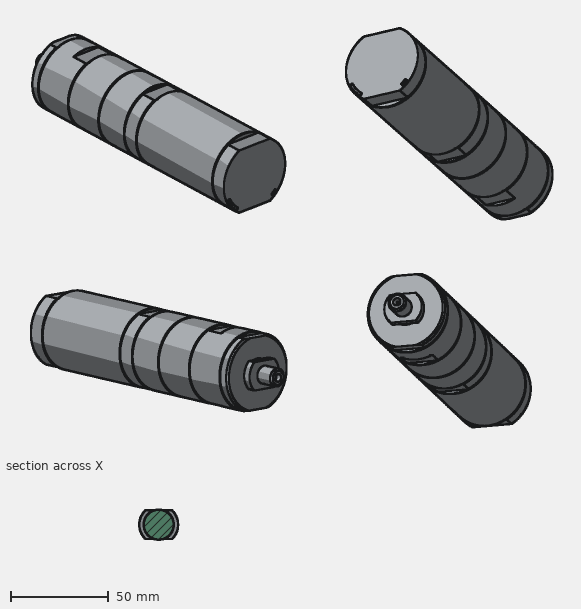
import cadquery as cq
import math


SHAFT_DIAMETER = 9.5
SHAFT_CHAMFER = 1.0
CENTRE_HOLE_DIAMETER = 1.6
CENTRE_HOLE_DEPTH = 5.0
COUNTERSINK_DIAMETER = 4.0
COUNTERSINK_ANGLE = 60

COLLAR_START = 10.8
COLLAR_LENGTH = 4.2
COLLAR_DIAMETER = 20.0
COLLAR_ACROSS_FLATS = 14.8
NECK_DIAMETER = 15.5

BODY_START = 15.9
BODY_END = 168.2
BODY_DIAMETER = 41.5
BODY_CHAMFER = 1.0

JOINT_WIDTH = 0.7
JOINT_DEPTH = 0.25
NOSE_JOINT = 21.8
FRONT_JOINT = 45.4
MIDDLE_JOINT = 69.3
WRENCH_FRONT_JOINT = 89.5
WRENCH_REAR_JOINT = 99.2
REAR_JOINT = 159.3
JOINTS = [NOSE_JOINT, FRONT_JOINT, MIDDLE_JOINT, WRENCH_FRONT_JOINT, WRENCH_REAR_JOINT, REAR_JOINT]

FRONT_FLATS_START = 35.1
BODY_FLATS_WIDTH = 38.0
REAR_FLATS_WIDTH = 36.0
BODY_FLATS = [
    (BODY_START, NOSE_JOINT, BODY_FLATS_WIDTH),
    (FRONT_FLATS_START, FRONT_JOINT, BODY_FLATS_WIDTH),
    (WRENCH_FRONT_JOINT, WRENCH_REAR_JOINT, BODY_FLATS_WIDTH),
    (REAR_JOINT, BODY_END, REAR_FLATS_WIDTH),
]

OVERALL_LENGTH = 168.7
STRIP_OUTER_RADIUS = 20.0
STRIP_INNER_RADIUS = 18.5
STRIP_ANGLES = [(205, 232), (308, 318)]


def cylinder(diameter, start, end):
    """Solid cylinder on the motor axis between two X positions."""
    return cq.Workplane("YZ", origin=(start, 0, 0)).circle(diameter / 2).extrude(end - start)


def cut_flats(solid, start, end, across, diameter):
    """Cut parallel flats on the top and bottom of a round stretch."""
    radius = diameter / 2
    size = (end - start, diameter, radius - across / 2)
    cutter = cq.Workplane("XY").box(*size, centered=(False, True, False))
    for bottom in (across / 2, -radius):
        solid = solid.cut(cutter.translate((start, 0, bottom)))
    return solid


def make_shaft():
    shaft = cylinder(SHAFT_DIAMETER, 0, COLLAR_START).faces("<X").chamfer(SHAFT_CHAMFER)
    return shaft.faces("<X").workplane(centerOption="CenterOfBoundBox").cskHole(
        CENTRE_HOLE_DIAMETER, COUNTERSINK_DIAMETER, COUNTERSINK_ANGLE, CENTRE_HOLE_DEPTH
    )


def make_collar():
    collar_end = COLLAR_START + COLLAR_LENGTH
    collar = cylinder(COLLAR_DIAMETER, COLLAR_START, collar_end)
    collar = cut_flats(collar, COLLAR_START, collar_end, COLLAR_ACROSS_FLATS, COLLAR_DIAMETER)
    return collar.union(cylinder(NECK_DIAMETER, collar_end, BODY_START))


def joint_groove(position):
    """Ring with a triangular section that cuts one housing joint."""
    radius = BODY_DIAMETER / 2
    half_width = JOINT_WIDTH / 2
    section = [
        (position - half_width, radius),
        (position, radius - JOINT_DEPTH),
        (position + half_width, radius),
    ]
    return cq.Workplane("XY").polyline(section).close().revolve(360, (0, 0, 0), (1, 0, 0))


def make_body():
    body = cylinder(BODY_DIAMETER, BODY_START, BODY_END).faces("<X").chamfer(BODY_CHAMFER)
    for position in JOINTS:
        body = body.cut(joint_groove(position))
    for start, end, across in BODY_FLATS:
        body = cut_flats(body, start, end, across, BODY_DIAMETER)
    return body


def polar(radius, angle):
    """(Y, Z) point at a radius and an angle in degrees from +Y towards +Z."""
    return radius * math.cos(math.radians(angle)), radius * math.sin(math.radians(angle))


def rear_strip(start_angle, end_angle):
    """Arc strip standing on the rear face of the body."""
    middle_angle = (start_angle + end_angle) / 2
    return (
        cq.Workplane("YZ", origin=(BODY_END, 0, 0))
        .moveTo(*polar(STRIP_INNER_RADIUS, start_angle))
        .lineTo(*polar(STRIP_OUTER_RADIUS, start_angle))
        .threePointArc(polar(STRIP_OUTER_RADIUS, middle_angle), polar(STRIP_OUTER_RADIUS, end_angle))
        .lineTo(*polar(STRIP_INNER_RADIUS, end_angle))
        .threePointArc(polar(STRIP_INNER_RADIUS, middle_angle), polar(STRIP_INNER_RADIUS, start_angle))
        .close()
        .extrude(OVERALL_LENGTH - BODY_END)
    )


result = make_body().union(make_collar()).union(make_shaft())
for start_angle, end_angle in STRIP_ANGLES:
    result = result.union(rear_strip(start_angle, end_angle))